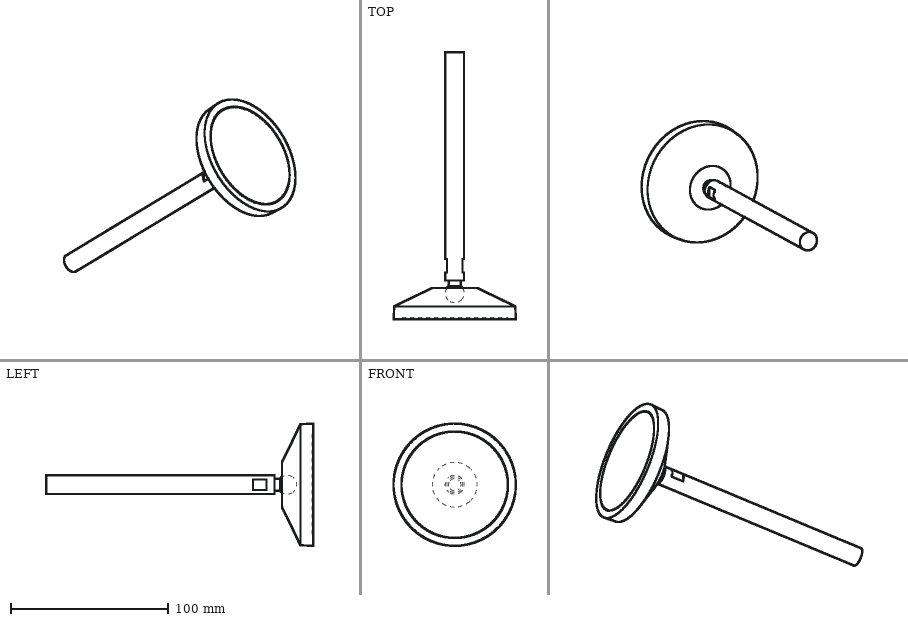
import cadquery as cq
import math

total_length = 170.0

sole_diameter = 78.0
rim_top_diameter = 77.2
rim_height = 8.3
crown_diameter = 28.5
foot_height = 20.0

groove_outer_diameter = 68.0
groove_inner_diameter = 67.5
groove_depth = 1.0

stem_diameter = 12.0
neck_diameter = 7.8
stem_start = 24.6
ball_diameter = 12.0
neck_start = 21.2
flats_start = 30.0
flats_length = 8.3
across_flats = 10.0

ball_radius = ball_diameter / 2
ball_center = neck_start - math.sqrt(ball_radius**2 - (neck_diameter / 2)**2)


def cylinder(diameter, start, length):
    """Round bar along +Y, beginning at Y = start."""
    return cq.Workplane("XZ", origin=(0, start, 0)).circle(diameter / 2).extrude(-length)


def make_ball():
    """Ball shared by the stem end and its socket."""
    return cq.Workplane("XY").sphere(ball_radius).translate((0, ball_center, 0))


def make_groove():
    """Narrow ring cut up into the sole."""
    outer = cylinder(groove_outer_diameter, 0, groove_depth)
    return outer.cut(cylinder(groove_inner_diameter, 0, groove_depth))


def make_foot():
    """Tapered rim and conical crown, with the ball socket and sole groove."""
    profile = (
        cq.Workplane("XY")
        .lineTo(sole_diameter / 2, 0)
        .lineTo(rim_top_diameter / 2, rim_height)
        .lineTo(crown_diameter / 2, foot_height)
        .lineTo(0, foot_height)
        .close()
    )
    body = profile.revolve(360, (0, 0, 0), (0, 1, 0))
    return body.cut(make_ball()).cut(make_groove())


def make_flat_cutter(side):
    """Block that leaves one wrench flat on the given X side of the stem."""
    flat_depth = (stem_diameter - across_flats) / 2
    block = cq.Workplane("XY").box(flat_depth, flats_length, stem_diameter)
    center_x = side * (across_flats + flat_depth) / 2
    return block.translate((center_x, flats_start + flats_length / 2, 0))


def make_stem():
    """Long bar with two wrench flats, joined to the ball by a thinner neck."""
    bar = cylinder(stem_diameter, stem_start, total_length - stem_start)
    for side in (-1, 1):
        bar = bar.cut(make_flat_cutter(side))
    neck = cylinder(neck_diameter, ball_center, stem_start - ball_center)
    return bar.union(neck).union(make_ball())


foot = make_foot()
stem = make_stem()

result = cq.Compound.makeCompound([foot.solids().val(), stem.solids().val()])